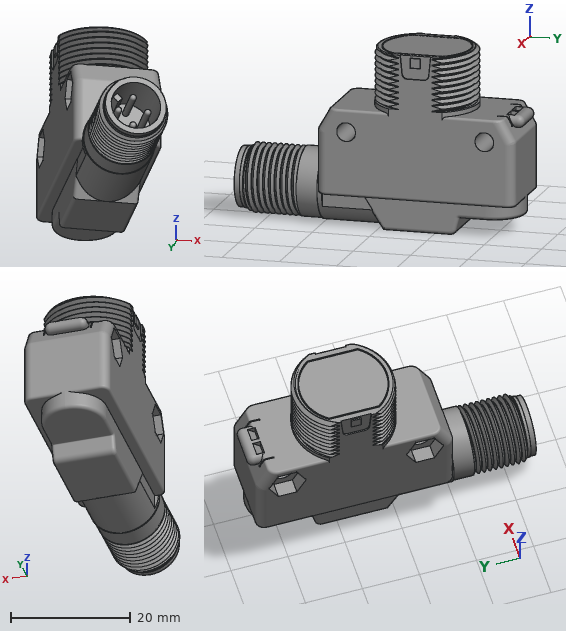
import cadquery as cq

HALF_WIDTH = 7.5
HALF_LENGTH = 17.25
BLOCK_BOTTOM = 5.95
BLOCK_TOP = 20.9
SLOPE_RUN = 2.15
SLOPE_DROP = 3.75
SLOPE_FOOT_RADIUS = 0.8
CORNER_RADIUS = 1.55
EDGE_RADIUS = 0.45

BOSS_TOP = 31.1
COLLAR_RADIUS = 8.85
BOSS_CREST_RADIUS = 8.8
BOSS_ROOT_RADIUS = 8.05
BOSS_CREST_START = 21.2
BOSS_TIP_CHAMFER = 0.5
COLLAR_TOP = 21.7
LENS_RADIUS = 7.65
LENS_HALF_WIDTH = 6.25
LENS_GROOVE = 0.15

RECESS_DEPTH = 0.25
RECESS_TOP_HALF = 2.65
RECESS_BOTTOM_HALF = 2.25
RECESS_HEIGHT = 4.05
RECESS_CORNER_RADIUS = 0.9
CATCH_WIDTH = 1.75
CATCH_HEIGHT = 1.7
CATCH_TOP_GAP = 0.4

CONNECTOR_Z = 6.15
CONNECTOR_END = -32.25
CONNECTOR_RADIUS = 6.0
CONNECTOR_CREST_RADIUS = 5.95
CONNECTOR_ROOT_RADIUS = 5.3
CONNECTOR_TIP_RADIUS = 5.2
CONNECTOR_COLLAR_END = -21.2
CONNECTOR_THREAD_END = -30.8
CONNECTOR_SHOULDER_END = -31.3
CONNECTOR_CREST_START = 20.7
CONNECTOR_THREAD_CHAMFER = 0.75
FLANGE_RADIUS = 6.15
FLANGE_LENGTH = 0.3
SOCKET_RADIUS = 4.2
SOCKET_DEPTH = 9.0
PIN_RADIUS = 0.55
PIN_CIRCLE_RADIUS = 2.5
PIN_TIP_GAP = 2.1
PIN_TIP_FILLET = 0.4
PIN_COUNT = 4
KEY_WIDTH = 1.05
KEY_INNER_RADIUS = 2.95
KEY_ANGLE = 135
KEY_LENGTH = 6.0

ROUNDING_MARGIN = 0.01

JOINT_OVERLAP = 0.5

THREAD_PITCH = 1.0
THREAD_RIDGE_WIDTH = 0.95
THREAD_OVERLAP = 0.05

HOLE_SPACING = 24.1
HOLE_Z = 17.1
HOLE_DIAMETER = 3.25
HEX_CORNERS = 6.5
HEX_DEPTH = 2.6

LOWER_HALF_WIDTH = 5.55
NECK_HALF_WIDTH = 5.5
REAR_BOTTOM = 3.0
STEP_TOP_Y = 7.05
STEP_BOTTOM_Y = 6.25
RAMP_BOTTOM_Y = -6.2
RAMP_TOP_Y = -10.15
LOWER_EDGE_RADIUS = 0.65
STEP_FOOT_RADIUS = 1.1
STEP_TOP_RADIUS = 0.15

PIPE_END = 17.75
PIPE_RADIUS = 1.05
PIPE_HALF_WIDTH = 3.7
PIPE_INNER_Y = 14.5
WINDOW_WIDTH = 2.35
WINDOW_OFFSET = 1.5
WINDOW_START = 14.65
WINDOW_LENGTH = 1.35
WINDOW_DEPTH = 1.3
SLIT_OFFSET = 4.1
SLIT_WIDTH = 0.2
SLIT_START = 13.4
SLIT_LENGTH = 3.35
SLIT_DEPTH = 1.6


def side_prism(points, half_width):
    """Prism with a (Y, Z) outline, centred on X = 0."""
    return cq.Workplane("YZ").polyline(points).close().extrude(half_width, both=True)


def z_cylinder(radius, bottom, top):
    return cq.Workplane("XY").workplane(offset=bottom).circle(radius).extrude(top - bottom)


def threaded_rod(root_radius, crest_radius, bottom, crest_start, top):
    """Rod along Z with one right-hand V ridge whose crest starts over +X at crest_start."""
    helix = cq.Wire.makeHelix(THREAD_PITCH, top + THREAD_PITCH - crest_start, root_radius)
    helix = helix.translate(cq.Vector(0, 0, crest_start))
    base_radius = root_radius - THREAD_OVERLAP
    ridge_section = [
        (base_radius, crest_start - THREAD_RIDGE_WIDTH / 2),
        (crest_radius, crest_start),
        (base_radius, crest_start + THREAD_RIDGE_WIDTH / 2),
    ]
    ridge = cq.Workplane("XZ").polyline(ridge_section).close().sweep(cq.Workplane(helix), isFrenet=True)
    return z_cylinder(root_radius, bottom, top + 2 * THREAD_PITCH).union(ridge)


def main_block():
    slope_end = HALF_LENGTH - SLOPE_RUN
    slope_bottom = BLOCK_TOP - SLOPE_DROP
    block = side_prism(
        [
            (-HALF_LENGTH, BLOCK_BOTTOM),
            (HALF_LENGTH, BLOCK_BOTTOM),
            (HALF_LENGTH, slope_bottom),
            (slope_end, BLOCK_TOP),
            (-slope_end, BLOCK_TOP),
            (-HALF_LENGTH, slope_bottom),
        ],
        HALF_WIDTH,
    )
    for end in (-1, 1):
        slope_foot = cq.selectors.NearestToPointSelector((0, end * HALF_LENGTH, slope_bottom))
        block = block.edges(slope_foot).fillet(SLOPE_FOOT_RADIUS)
    for end in (">Y", "<Y"):
        block = block.faces(end).edges("|Z").fillet(CORNER_RADIUS)
    return block.faces("<Z or >Z").edges().fillet(EDGE_RADIUS)


def lower_housing():
    """Pad with a round +Y end and a step, running into a rounded neck behind the connector."""
    pad_top = BLOCK_BOTTOM + EDGE_RADIUS
    pad = side_prism(
        [
            (HALF_LENGTH, pad_top),
            (HALF_LENGTH, REAR_BOTTOM),
            (STEP_TOP_Y, REAR_BOTTOM),
            (STEP_BOTTOM_Y, 0),
            (RAMP_BOTTOM_Y, 0),
            (RAMP_TOP_Y, BLOCK_BOTTOM),
            (RAMP_TOP_Y, pad_top),
        ],
        LOWER_HALF_WIDTH,
    )
    pad = pad.edges("|Z and >Y").fillet(LOWER_HALF_WIDTH - ROUNDING_MARGIN)
    step_foot = cq.selectors.NearestToPointSelector((0, STEP_BOTTOM_Y, 0))
    step_top = cq.selectors.NearestToPointSelector((0, STEP_TOP_Y, REAR_BOTTOM))
    pad = pad.edges(step_foot).fillet(STEP_FOOT_RADIUS)
    pad = pad.edges(step_top).fillet(STEP_TOP_RADIUS)
    low_edges = cq.selectors.BoxSelector(
        (-HALF_WIDTH, -HALF_LENGTH, -STEP_TOP_RADIUS),
        (HALF_WIDTH, HALF_LENGTH + STEP_TOP_RADIUS, REAR_BOTTOM + STEP_TOP_RADIUS),
    )
    pad = pad.edges(low_edges).edges("not |X").fillet(LOWER_EDGE_RADIUS)
    neck = cq.Workplane("XZ").center(0, CONNECTOR_Z).circle(CONNECTOR_Z).extrude(HALF_LENGTH)
    neck_limits = side_prism(
        [(0, 0), (0, pad_top), (-HALF_LENGTH, pad_top), (-HALF_LENGTH, 0)],
        NECK_HALF_WIDTH,
    )
    return pad.union(neck.intersect(neck_limits))


def boss():
    bottom = BLOCK_TOP - EDGE_RADIUS
    rod = threaded_rod(BOSS_ROOT_RADIUS, BOSS_CREST_RADIUS, bottom, BOSS_CREST_START, BOSS_TOP)
    envelope = z_cylinder(COLLAR_RADIUS, bottom, BOSS_TOP).faces(">Z").chamfer(BOSS_TIP_CHAMFER)
    flats = cq.Workplane("XY").box(2 * HALF_WIDTH, 4 * COLLAR_RADIUS, 4 * BOSS_TOP)
    collar = z_cylinder(COLLAR_RADIUS, bottom, COLLAR_TOP)
    return rod.intersect(envelope.intersect(flats)).union(collar.intersect(flats))


def lens_groove():
    def lens(inset):
        disc = z_cylinder(LENS_RADIUS - inset, BOSS_TOP - LENS_GROOVE, BOSS_TOP)
        flats = cq.Workplane("XY").box(2 * (LENS_HALF_WIDTH - inset), 2 * LENS_RADIUS, 4 * BOSS_TOP)
        return disc.intersect(flats)

    return lens(0).cut(lens(LENS_GROOVE))


def latch_recess(side):
    bottom = BOSS_TOP - RECESS_HEIGHT
    outline = [
        (-RECESS_TOP_HALF, BOSS_TOP),
        (-RECESS_BOTTOM_HALF, bottom),
        (RECESS_BOTTOM_HALF, bottom),
        (RECESS_TOP_HALF, BOSS_TOP),
    ]
    recess = side_prism(outline, RECESS_DEPTH).edges("|X and <Z").fillet(RECESS_CORNER_RADIUS)
    catch_z = BOSS_TOP - CATCH_TOP_GAP - CATCH_HEIGHT / 2
    catch = cq.Workplane("XY").box(4 * RECESS_DEPTH, CATCH_WIDTH, CATCH_HEIGHT).translate((0, 0, catch_z))
    return recess.cut(catch).translate((side * HALF_WIDTH, 0, 0))


def connector():
    """Connector built along Z, then laid along -Y."""
    tip = -CONNECTOR_END
    thread_end = -CONNECTOR_THREAD_END
    collar_end = -CONNECTOR_COLLAR_END
    back = HALF_LENGTH - JOINT_OVERLAP
    body = threaded_rod(
        CONNECTOR_ROOT_RADIUS, CONNECTOR_CREST_RADIUS, back, CONNECTOR_CREST_START, thread_end
    )
    envelope = z_cylinder(CONNECTOR_RADIUS, back, thread_end).faces(">Z").chamfer(CONNECTOR_THREAD_CHAMFER)
    body = body.intersect(envelope)
    body = body.union(z_cylinder(CONNECTOR_RADIUS, back, collar_end))
    body = body.union(z_cylinder(FLANGE_RADIUS, back, HALF_LENGTH + FLANGE_LENGTH))
    body = body.union(z_cylinder(CONNECTOR_ROOT_RADIUS, collar_end, -CONNECTOR_SHOULDER_END))
    body = body.union(z_cylinder(CONNECTOR_TIP_RADIUS, thread_end - JOINT_OVERLAP, tip))
    socket_floor = tip - SOCKET_DEPTH
    body = body.cut(z_cylinder(SOCKET_RADIUS, socket_floor, tip))
    pin = z_cylinder(PIN_RADIUS, socket_floor - JOINT_OVERLAP, tip - PIN_TIP_GAP)
    pin = pin.faces(">Z").fillet(PIN_TIP_FILLET)
    for index in range(PIN_COUNT):
        angle = 360 / PIN_COUNT * index
        body = body.union(pin.translate((PIN_CIRCLE_RADIUS, 0, 0)).rotate((0, 0, 0), (0, 0, 1), angle))
    key_height = (SOCKET_RADIUS + CONNECTOR_TIP_RADIUS) / 2 - KEY_INNER_RADIUS
    key = cq.Workplane("XY").box(key_height, KEY_WIDTH, KEY_LENGTH, centered=(False, True, False))
    key = key.translate((KEY_INNER_RADIUS, 0, socket_floor)).rotate((0, 0, 0), (0, 0, 1), KEY_ANGLE)
    body = body.union(key)
    return body.rotate((0, 0, 0), (1, 0, 0), 90).translate((0, 0, CONNECTOR_Z))


def mounting_hole(y):
    hole = cq.Workplane("YZ").center(y, HOLE_Z).circle(HOLE_DIAMETER / 2).extrude(HALF_WIDTH, both=True)
    pocket = (
        cq.Workplane("YZ").workplane(offset=-HALF_WIDTH).center(y, HOLE_Z)
        .polygon(6, HEX_CORNERS).extrude(HEX_DEPTH)
    )
    return hole.union(pocket)


def light_pipe():
    length = PIPE_END - PIPE_INNER_Y
    bar = cq.Workplane("XY").box(2 * PIPE_HALF_WIDTH, length, 2 * PIPE_RADIUS)
    bar = bar.edges("|Y or >Y").fillet(PIPE_RADIUS - ROUNDING_MARGIN)
    return bar.translate((0, PIPE_INNER_Y + length / 2, BLOCK_TOP - PIPE_RADIUS))


def window(x):
    end = WINDOW_START + WINDOW_LENGTH
    wedge = side_prism(
        [(WINDOW_START, BLOCK_TOP), (end, BLOCK_TOP), (WINDOW_START, BLOCK_TOP - WINDOW_DEPTH)],
        WINDOW_WIDTH / 2,
    )
    return wedge.translate((x, 0, 0))


def slit(x):
    box = cq.Workplane("XY").box(SLIT_WIDTH, SLIT_LENGTH, SLIT_DEPTH, centered=(True, False, False))
    return box.translate((x, SLIT_START, BLOCK_TOP - SLIT_DEPTH))


result = main_block().union(lower_housing()).union(light_pipe()).union(boss()).union(connector())
result = result.cut(lens_groove())
for side in (-1, 1):
    result = result.cut(latch_recess(side))
    result = result.cut(mounting_hole(side * HOLE_SPACING / 2))
    result = result.cut(window(side * WINDOW_OFFSET))
    result = result.cut(slit(side * SLIT_OFFSET))